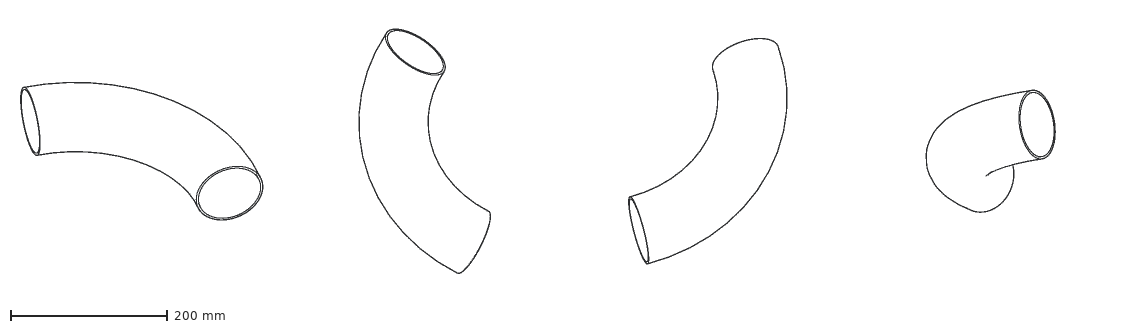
import cadquery as cq

overall_length = 249.5
outer_diameter = 88.8
wall_thickness = 3.0
bend_angle = 90.0

outer_radius = outer_diameter / 2
inner_radius = outer_radius - wall_thickness
bend_radius = overall_length - outer_radius

result = (
    cq.Workplane("XZ")
    .center(-bend_radius, 0)
    .circle(outer_radius)
    .circle(inner_radius)
    .revolve(bend_angle, (bend_radius, 0), (bend_radius, -1))
)